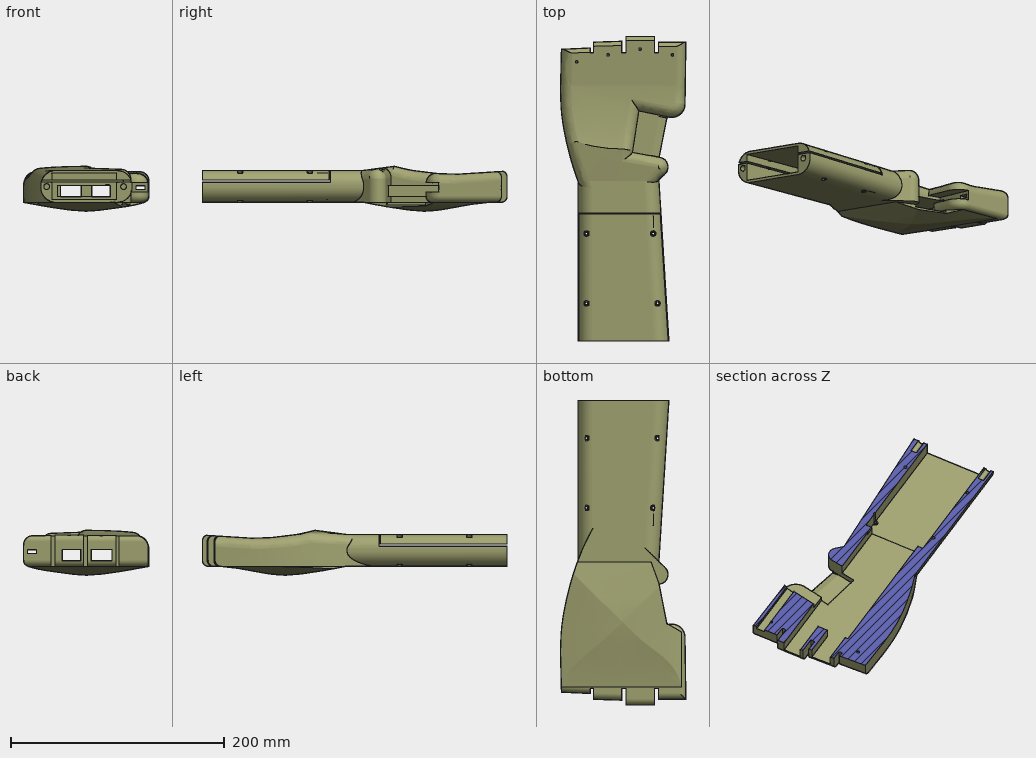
import cadquery as cq
import math


OVERLAP = 2.9

HANDLE_HEIGHT = 30.0
HANDLE_WIDTH = 85.3
HANDLE_LENGTH = 151.2
HANDLE_END_WIDTH = 76.0
EDGE_RADIUS = 14.0
TAPER = (HANDLE_WIDTH - HANDLE_END_WIDTH) / HANDLE_LENGTH

LID_LENGTH = 119.0
LID_BOTTOM = 20.8
BASE_TOP = 19.0
END_GAP = 0.9

POCKET_LEFT = 10.3
POCKET_WIDTH = 60.5
POCKET_LENGTH = 117.0
SKIN = 2.5

SCREW_ROWS = (35.5, 100.7)
SCREW_INSET_LEFT = 8.0
SCREW_INSET_RIGHT = 8.5
SCREW_HOLE = 2.5
SCREW_HEAD = 5.0
TOP_SEAT = 27.0
BOTTOM_SEAT = 1.7
END_HOLE = 5.5
END_HOLE_INSET = 5.5
END_HOLE_INSET_RIGHT = 8.0
END_HOLE_Z = 14.8
END_HOLE_DEPTH = 14.3
CABLE_HOLE = 5.5
CABLE_HOLE_PLACE = (62.5, 14.3)
CABLE_HOLE_DEPTH = 8.5

HAND_LEFT_LIMIT = -20.0
HAND_RIGHT_LIMIT = 105.5
FINGERTIP_Y = 285.3
WRIST_Y = 149.8
HAND_START = LID_LENGTH + END_GAP
HAND_START_RIGHT = 57.0
HAND_END = FINGERTIP_Y + OVERLAP
FLANK = ((14.0, HAND_START), (0, WRIST_Y), (-10.5, 185.5), (-15.5, 214.0), (-16.3, 239.6), (-15.5, HAND_END))
FLANK_RADIUS = 10.3
SIDE_RADIUS = 9.0
TIP_RADIUS = 5.7
TRIM_LENGTH = 28.5
TIP_OVERRUN = 1.0
UNDER_RADIUS = 5.7
RIM_LOW = 25.7
CREST_LIMIT = 40.0
KNUCKLE_Y = 216.8
ARCH_LEFT = -22.8
ARCH_MIDDLE = 42.8
ARCH_RIGHT = 102.7
ARCH_LEFT_HEIGHT = 27.0
ARCH_HEIGHT = 38.8
ARCH_RIGHT_HEIGHT = 29.0
SADDLE_START_Y = 159.8
SADDLE_START_SLOPE = -0.3
SADDLE_Y = 239.0
SADDLE_HEIGHT = 26.5
FINGER_SLOPE = 0.064

NOTCH_CORNER = (57.0, 215.5)
LOBE_CORNER = (100.0, 206.5)
NOTCH_FOOT = (51.0, 176.5)
WING_CORNER = (94.5, 169.0)
WING_FOOT = (HAND_START_RIGHT, 132.7)
HAND_END_RIGHT = 101.3
LOBE_RADIUS = 12.5
WING_RADIUS = 9.0

FINGER_1 = (HAND_LEFT_LIMIT, 11.7, 273.0, 274.5)
FINGER_2 = (14.5, 41.0, 280.0, 280.7)
FINGER_3 = (44.8, 72.0, FINGERTIP_Y, FINGERTIP_Y)
FINGER_4 = (75.3, HAND_RIGHT_LIMIT, 280.0, 280.0)
FINGERS = (FINGER_1, FINGER_2, FINGER_3, FINGER_4)
SLOT_BOTTOM = 270.0
PIN_HOLE = 2.3
PIN_HOLE_BOTTOM = 14.3
PIN_HOLES = ((-1.0, 261.3), (28.2, 268.0), (58.2, 273.3), (88.5, 268.0))

CAVITY_BOTTOM = 5.5
CAVITY_TOP = 15.7
CAVITY_LEFT = 15.7
CAVITY_RIGHT = 64.8
CAVITY_END = 251.0
TIP_OPENINGS = ((18.5, 37.7), (47.6, CAVITY_RIGHT))
SMALL_OPENING = (89.0, 97.3, 12.3, 15.5)

SLIT_BOTTOM = 9.7
SLIT_TOP = 18.5
SLIT_DEPTH = 14.3

PAD_DEPTH = 8.3
PAD_START = 151.2
PAD_END = 268.2
PAD_LEFT = -16.3
PAD_RIGHT = 97.0
PAD_LOBE_Y = 216.8
PAD_EDGE_FAR = (83.3, 208.8)
PAD_EDGE_NEAR = (76.2, 172.3)
PAD_BEVEL_WIDTH = 7.5
PAD_BEVEL_DROP = 2.3


def block(x0, x1, y0, y1, z0, z1):
    return cq.Workplane("XY").box(x1 - x0, y1 - y0, z1 - z0, centered=False).translate((x0, y0, z0))


def tapered_block(x0, x1, y0, y1, z0, z1):
    """A block whose right side follows the handle's taper; x1 is its width line at y = 0."""
    outline = [(x0, y0), (x1 - TAPER * y0, y0), (x1 - TAPER * y1, y1), (x0, y1)]
    return cq.Workplane("XY").workplane(offset=z0).polyline(outline).close().extrude(z1 - z0)


def handle_blank():
    blank = tapered_block(0, HANDLE_WIDTH, 0, HANDLE_LENGTH, 0, HANDLE_HEIGHT)
    long_edges = blank.faces("<X or >X").edges(">Z or <Z")
    return long_edges.fillet(EDGE_RADIUS)


def handle_pocket():
    right = POCKET_LEFT + POCKET_WIDTH
    return block(POCKET_LEFT, right, 0, POCKET_LENGTH, SKIN, HANDLE_HEIGHT - SKIN)


def screw_holes():
    """Through holes with a seat for a screw head at the top and at the bottom."""
    places = []
    for y in SCREW_ROWS:
        right = HANDLE_WIDTH - TAPER * y - SCREW_INSET_RIGHT
        places += [(SCREW_INSET_LEFT, y), (right, y)]

    def cylinders(diameter, z0, z1):
        plane = cq.Workplane("XY").workplane(offset=z0)
        return plane.pushPoints(places).circle(diameter / 2).extrude(z1 - z0)

    shafts = cylinders(SCREW_HOLE, 0, HANDLE_HEIGHT)
    top_seats = cylinders(SCREW_HEAD, TOP_SEAT, HANDLE_HEIGHT)
    bottom_seats = cylinders(SCREW_HEAD, 0, BOTTOM_SEAT)
    return shafts.union(top_seats).union(bottom_seats)


def end_holes():
    places = [(END_HOLE_INSET, END_HOLE_Z), (HANDLE_WIDTH - END_HOLE_INSET_RIGHT, END_HOLE_Z)]
    return cq.Workplane("XZ").pushPoints(places).circle(END_HOLE / 2).extrude(-END_HOLE_DEPTH)


def cable_hole():
    """A blind hole in the pocket's end wall that breaks into the upper right of the cavity."""
    wall = cq.Workplane("XZ", origin=(0, POCKET_LENGTH, 0)).center(*CABLE_HOLE_PLACE)
    return wall.circle(CABLE_HOLE / 2).extrude(-CABLE_HOLE_DEPTH)


def hand_outline():
    """Plan of the hand with a plain far end: left flank, right side, lobe, notch, wing."""
    return (
        cq.Workplane("XY")
        .moveTo(*FLANK[0])
        .spline(FLANK[1:], includeCurrent=True)
        .lineTo(HAND_END_RIGHT, HAND_END)
        .lineTo(*LOBE_CORNER)
        .lineTo(*NOTCH_CORNER)
        .lineTo(*NOTCH_FOOT)
        .lineTo(*WING_CORNER)
        .lineTo(*WING_FOOT)
        .lineTo(HAND_START_RIGHT, HAND_START)
        .close()
    )


def height_at(y):
    """Height of the sloping top of the fingers."""
    return SADDLE_HEIGHT + FINGER_SLOPE * (y - SADDLE_Y)


def back_of_hand():
    """Everything below the saddle that runs from the fingertips up to the crest."""
    return (
        cq.Workplane("YZ")
        .moveTo(HAND_START, 0)
        .lineTo(HAND_START, CREST_LIMIT)
        .lineTo(SADDLE_START_Y, CREST_LIMIT)
        .spline(
            [(179.7, 34.0), (194.9, 30.2), (208.3, 28.2), (220.5, 27.0), (SADDLE_Y, SADDLE_HEIGHT)],
            tangents=[(1, SADDLE_START_SLOPE), (1, FINGER_SLOPE)],
            includeCurrent=True,
        )
        .lineTo(HAND_END, height_at(HAND_END))
        .lineTo(HAND_END, 0)
        .close()
        .extrude(HAND_RIGHT_LIMIT - HAND_LEFT_LIMIT)
        .translate((HAND_LEFT_LIMIT, 0, 0))
    )


def wrist_slope():
    """A body whose flat top at the wrist warps into an arch towards the knuckles."""
    arch = (
        cq.Workplane("XZ", origin=(0, WRIST_Y, 0))
        .moveTo(ARCH_LEFT, 0)
        .lineTo(ARCH_LEFT, HANDLE_HEIGHT)
        .lineTo(ARCH_RIGHT, HANDLE_HEIGHT)
        .lineTo(ARCH_RIGHT, 0)
        .close()
        .workplane(offset=WRIST_Y - KNUCKLE_Y)
        .moveTo(ARCH_LEFT, 0)
        .lineTo(ARCH_LEFT, ARCH_LEFT_HEIGHT)
        .threePointArc((ARCH_MIDDLE, ARCH_HEIGHT), (ARCH_RIGHT, ARCH_RIGHT_HEIGHT))
        .lineTo(ARCH_RIGHT, 0)
        .close()
        .loft(ruled=True)
    )
    beyond = block(ARCH_LEFT, ARCH_RIGHT, KNUCKLE_Y, HAND_END, 0, CREST_LIMIT)
    before = block(ARCH_LEFT, ARCH_RIGHT, HAND_START, WRIST_Y, 0, HANDLE_HEIGHT)
    return arch.union(beyond).union(before)


def hand_blank():
    hand = hand_outline().extrude(CREST_LIMIT)
    for corner, radius in ((LOBE_CORNER, LOBE_RADIUS), (WING_CORNER, WING_RADIUS)):
        nearest = cq.selectors.NearestToPointSelector((*corner, CREST_LIMIT / 2))
        hand = hand.edges("|Z").edges(nearest).fillet(radius)
    return hand.intersect(back_of_hand()).intersect(wrist_slope())


def rim_box(low, high):
    """Selects the edges whose middle lies between two opposite corners."""
    return cq.selectors.BoxSelector(low, high)


def rounded_hand():
    """The hand with its upper rim rounded all round and the lobe rounded underneath."""
    margin = 0.3
    end = HAND_END - margin
    top_right = (HAND_RIGHT_LIMIT, end, CREST_LIMIT)
    flank_rim = rim_box((HAND_LEFT_LIMIT, HAND_START - margin, RIM_LOW), (FLANK[0][0], end, CREST_LIMIT))
    right_rim = rim_box((NOTCH_FOOT[0] - OVERLAP, WING_FOOT[1], RIM_LOW), top_right)
    lobe_foot = rim_box((NOTCH_CORNER[0], LOBE_CORNER[1], -margin), (HAND_RIGHT_LIMIT, end, margin))
    hand = hand_blank().edges(flank_rim).fillet(FLANK_RADIUS)
    hand = hand.edges(right_rim).fillet(SIDE_RADIUS)
    return hand.edges(lobe_foot).fillet(UNDER_RADIUS)


def tip_trimmer(left, right, left_y, right_y):
    """What has to go beyond one fingertip: all outside a nose rounded above and below."""
    top = height_at((left_y + right_y) / 2)
    slant = math.degrees(math.atan2(right_y - left_y, right - left))
    bevel = TIP_RADIUS * (1 - math.sqrt(0.5))
    trimmer = (
        cq.Workplane("YZ")
        .moveTo(-TIP_RADIUS, 0)
        .threePointArc((-bevel, bevel), (0, TIP_RADIUS))
        .lineTo(0, top - TIP_RADIUS)
        .threePointArc((-bevel, top - bevel), (-TIP_RADIUS, top))
        .lineTo(-TIP_RADIUS, CREST_LIMIT)
        .lineTo(TRIM_LENGTH, CREST_LIMIT)
        .lineTo(TRIM_LENGTH, -OVERLAP)
        .lineTo(-TIP_RADIUS, -OVERLAP)
        .close()
        .extrude(right - left + 2 * TIP_OVERRUN)
        .translate((-TIP_OVERRUN, 0, 0))
    )
    return trimmer.rotate((0, 0, 0), (0, 0, 1), slant).translate((left, left_y, 0))


def shape_fingers(hand):
    for finger, next_finger in zip(FINGERS, FINGERS[1:]):
        hand = hand.cut(block(finger[1], next_finger[0], SLOT_BOTTOM, HAND_END, 0, CREST_LIMIT))
    for left, right, left_y, right_y in FINGERS:
        hand = hand.cut(tip_trimmer(left, right, left_y, right_y))
    pins = cq.Workplane("XY").workplane(offset=PIN_HOLE_BOTTOM).pushPoints(PIN_HOLES)
    return hand.cut(pins.circle(PIN_HOLE / 2).extrude(CREST_LIMIT - PIN_HOLE_BOTTOM))


def notch_slit():
    """A flat slit that runs into the far wall of the notch, square to that wall."""
    run = LOBE_CORNER[0] - NOTCH_CORNER[0]
    rise = LOBE_CORNER[1] - NOTCH_CORNER[1]
    angle = math.degrees(math.atan2(rise, run))
    slit = block(0, 2 * run, 0, SLIT_DEPTH, SLIT_BOTTOM, SLIT_TOP)
    return slit.rotate((0, 0, 0), (0, 0, 1), angle).translate((*NOTCH_CORNER, 0))


def hand_cavity():
    cavity = block(CAVITY_LEFT, CAVITY_RIGHT, POCKET_LENGTH, CAVITY_END, CAVITY_BOTTOM, CAVITY_TOP)
    for left, right in TIP_OPENINGS:
        cavity = cavity.union(block(left, right, CAVITY_END, HAND_END, CAVITY_BOTTOM, CAVITY_TOP))
    left, right, low, high = SMALL_OPENING
    return cavity.union(block(left, right, LOBE_CORNER[1], HAND_END, low, high))


def make_housing():
    lid_space = block(-OVERLAP, HANDLE_WIDTH + OVERLAP, 0, HAND_START, BASE_TOP, HANDLE_HEIGHT)
    handle = handle_blank().cut(lid_space)
    hand = shape_fingers(rounded_hand())
    housing = handle.union(hand).cut(handle_pocket()).cut(screw_holes()).cut(end_holes())
    return housing.cut(hand_cavity()).cut(cable_hole()).cut(notch_slit())


def make_lid():
    lid_space = block(-OVERLAP, HANDLE_WIDTH + OVERLAP, 0, LID_LENGTH, LID_BOTTOM, HANDLE_HEIGHT)
    return handle_blank().intersect(lid_space).cut(handle_pocket()).cut(screw_holes())


def make_pad():
    """A domed pad under the palm: where a lengthwise and a crosswise bulge overlap."""
    lengthwise = (
        cq.Workplane("YZ")
        .moveTo(PAD_START, 0)
        .spline(
            [(172.0, -4.0), (187.2, -6.3), (206.8, -PAD_DEPTH), (229.0, -6.0), (251.0, -2.0), (PAD_END, 0)],
            includeCurrent=True,
        )
        .close()
        .extrude(HAND_RIGHT_LIMIT - HAND_LEFT_LIMIT)
        .translate((HAND_LEFT_LIMIT, 0, 0))
    )
    crosswise = (
        cq.Workplane("XZ", origin=(0, PAD_START, 0))
        .moveTo(PAD_LEFT, 0)
        .spline(
            [(7.5, -4.3), (22.8, -6.5), (42.8, -PAD_DEPTH), (65.0, -6.0), (87.3, -2.5), (PAD_RIGHT, 0)],
            includeCurrent=True,
        )
        .close()
        .extrude(PAD_START - PAD_END)
    )
    plan = (
        cq.Workplane("XY")
        .moveTo(*FLANK[0])
        .spline(FLANK[1:], includeCurrent=True)
        .lineTo(PAD_RIGHT, HAND_END)
        .lineTo(PAD_RIGHT, PAD_LOBE_Y)
        .lineTo(*PAD_EDGE_FAR)
        .lineTo(*PAD_EDGE_NEAR)
        .lineTo(HAND_START_RIGHT, HAND_START)
        .close()
        .extrude(-PAD_DEPTH)
    )
    pad = lengthwise.intersect(crosswise).intersect(plan)
    return pad.cut(pad_bevel())


def pad_bevel():
    """A wedge that slopes the pad's bare edge downwards across the open side of the notch."""
    run = PAD_EDGE_FAR[0] - PAD_EDGE_NEAR[0]
    rise = PAD_EDGE_FAR[1] - PAD_EDGE_NEAR[1]
    wedge = (
        cq.Workplane("XZ")
        .polyline([(-PAD_BEVEL_WIDTH, 0), (0, 0), (0, -PAD_BEVEL_DROP)])
        .close()
        .extrude(-math.hypot(run, rise))
    )
    angle = -math.degrees(math.atan2(run, rise))
    return wedge.rotate((0, 0, 0), (0, 0, 1), angle).translate((*PAD_EDGE_NEAR, 0))


housing = make_housing()
lid = make_lid()
pad = make_pad()
result = cq.Compound.makeCompound([body.solids().val() for body in (housing, lid, pad)])